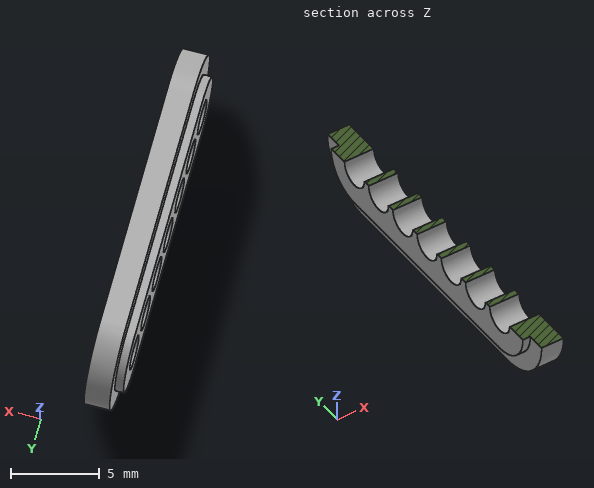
import cadquery as cq

hole_count = 7
hole_pitch = 2.45
hole_diameter = 2.0
flange_height = 7.0
flange_thickness = 1.5
step_height = 4.7
step_thickness = 0.5

end_center_distance = (hole_count - 1) * hole_pitch
total_thickness = flange_thickness + step_thickness
back_x = total_thickness / 2
step_face_x = -total_thickness / 2
flange_face_x = step_face_x + step_thickness


def plate(height, start_x, end_x):
    """Round-ended plate, long along Y, filling start_x to end_x."""
    return (
        cq.Workplane("YZ", origin=(start_x, 0, 0))
        .slot2D(end_center_distance + height, height)
        .extrude(end_x - start_x)
    )


def hole_row():
    """Evenly spaced cylinders along Y that pass through the whole thickness."""
    return (
        cq.Workplane("YZ", origin=(step_face_x, 0, 0))
        .rarray(hole_pitch, 1, hole_count, 1)
        .circle(hole_diameter / 2)
        .extrude(total_thickness)
    )


flange = plate(flange_height, flange_face_x, back_x)
raised_step = plate(step_height, step_face_x, flange_face_x)

result = flange.union(raised_step).cut(hole_row())